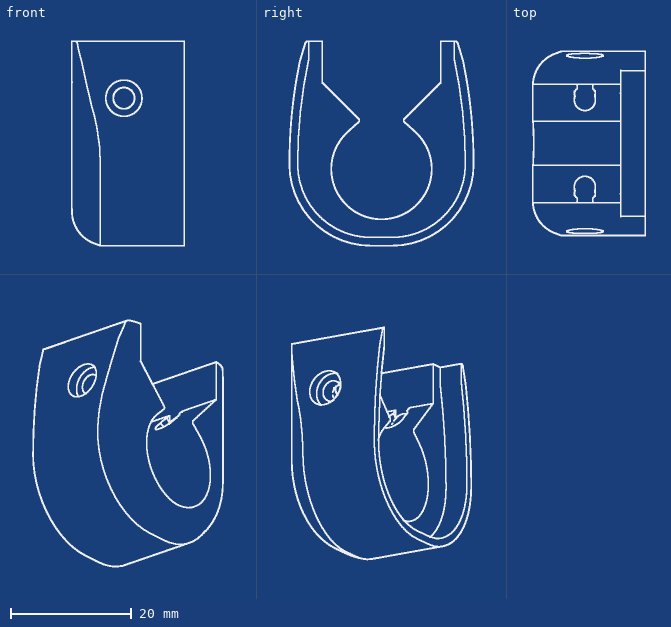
import cadquery as cq
import math

length = 18.67
height = 33.95
width = 30.6
half_width = width / 2

bottom_flat_half = 1.75
bend_radius = half_width - bottom_flat_half
arm_curve_radius = 84.88
arm_curve_top = 30.55
arm_shoulder_y = 12.73
arm_shoulder_z = 33.35
arm_top_y = 12.22
arm_crown_y = 12.55
arm_crown_z = 33.75
arm_inner_y = 9.8

nose_radius = 5.77
nose_arc_length = 3.3
nose_length = 4.75

bore_radius = 8.32
bore_z = 12.73
lip_root_z = 27.1
lip_tangent_angle = math.radians(48)
lip_tip_radius = 0.35

recess_start = 14.6
recess_half_width = 12.1
wall = 1.4

screw_x = 8.65
screw_z = 24.48
screw_diameter = 3.5
screw_head_diameter = 6.0
screw_head_floor_y = 12.43

relief_y = 8.25
relief_depth = 1.35
relief_slot_width = 2.6

cut_margin = 3.4


def arm_curve_y(z, inset=0):
    """Half width of the curved arms at a height, measured the inset inside their outer face."""
    radius = arm_curve_radius - inset
    rise = z - bend_radius
    return half_width - arm_curve_radius + math.sqrt(radius**2 - rise**2)


def arm_taper():
    """Full-length block giving the arms their curved outer sides and rounded tops."""
    mid_z = (bend_radius + arm_curve_top) / 2
    curve_mid = (arm_curve_y(mid_z), mid_z)
    curve_end = (arm_curve_y(arm_curve_top), arm_curve_top)
    half = (
        cq.Workplane("YZ")
        .lineTo(half_width, 0)
        .lineTo(half_width, bend_radius)
        .threePointArc(curve_mid, curve_end)
        .lineTo(arm_shoulder_y, arm_shoulder_z)
        .threePointArc((arm_crown_y, arm_crown_z), (arm_top_y, height))
        .lineTo(0, height)
        .close()
        .extrude(length)
    )
    return half.union(half.mirror("XZ"))


def nosed_body():
    """U block whose front outer edge is rounded along the whole U."""

    def nose_inset(x):
        return nose_radius - math.sqrt(nose_radius**2 - (nose_radius - x) ** 2)

    mid_x = nose_arc_length / 2
    arc_mid = (mid_x, half_width - nose_inset(mid_x))
    arc_end = (nose_arc_length, half_width - nose_inset(nose_arc_length))

    def nose_profile(inner_y):
        return (
            cq.Workplane("XY", origin=(0, 0, bend_radius))
            .moveTo(0, inner_y)
            .lineTo(0, half_width - nose_radius)
            .threePointArc(arc_mid, arc_end)
            .lineTo(nose_length, half_width)
            .lineTo(length, half_width)
            .lineTo(length, inner_y)
            .close()
        )

    arm = nose_profile(0).extrude(height - bend_radius)
    bend_axis = ((0, bottom_flat_half, 0), (-1, bottom_flat_half, 0))
    bend = nose_profile(bottom_flat_half).revolve(90, *bend_axis)
    floor = (
        nose_profile(bottom_flat_half)
        .extrude(2 * bottom_flat_half)
        .rotate((0, bottom_flat_half, bend_radius), (1, bottom_flat_half, bend_radius), -90)
        .translate((0, -2 * bottom_flat_half, 0))
    )
    half = arm.union(bend)
    return half.union(half.mirror("XZ")).union(floor)


def mouth():
    """Bore, neck between the lips and the gap between the arms."""
    tangent_y = bore_radius * math.cos(lip_tangent_angle)
    tangent_z = bore_z + bore_radius * math.sin(lip_tangent_angle)
    slope = 1 / math.tan(lip_tangent_angle)
    upper_offset = lip_root_z - arm_inner_y
    tip_y = (tangent_z + slope * tangent_y - upper_offset) / (1 + slope)
    tip_z = tip_y + upper_offset
    top = height + cut_margin
    tip_edges = cq.selectors.BoxSelector(
        (0, -tip_y - lip_tip_radius, tip_z - lip_tip_radius),
        (length, tip_y + lip_tip_radius, tip_z + lip_tip_radius),
    )
    return (
        cq.Workplane("YZ")
        .moveTo(tangent_y, tangent_z)
        .lineTo(tip_y, tip_z)
        .lineTo(arm_inner_y, lip_root_z)
        .lineTo(arm_inner_y, top)
        .lineTo(-arm_inner_y, top)
        .lineTo(-arm_inner_y, lip_root_z)
        .lineTo(-tip_y, tip_z)
        .lineTo(-tangent_y, tangent_z)
        .threePointArc((0, bore_z - bore_radius), (tangent_y, tangent_z))
        .close()
        .extrude(length)
        .edges(tip_edges)
        .fillet(lip_tip_radius)
    )


def back_recess():
    """Pocket leaving an even wall inside the curved arms, straight near their tops."""
    half = half_width - wall
    bend = bend_radius - wall
    diagonal = bend * math.sqrt(0.5)
    curve = arm_curve_radius - wall
    curve_y = half_width - arm_curve_radius
    straight_z = bend_radius + math.sqrt(curve**2 - (recess_half_width - curve_y) ** 2)
    mid_z = (bend_radius + straight_z) / 2
    mid_y = arm_curve_y(mid_z, wall)
    top = height + cut_margin
    side = (
        cq.Workplane("YZ", origin=(recess_start, 0, 0))
        .moveTo(0, wall)
        .lineTo(bottom_flat_half, wall)
        .threePointArc((bottom_flat_half + diagonal, bend_radius - diagonal), (half, bend_radius))
        .threePointArc((mid_y, mid_z), (recess_half_width, straight_z))
        .lineTo(recess_half_width, top)
        .lineTo(0, top)
        .close()
        .extrude(length - recess_start)
    )
    return side.union(side.mirror("XZ"))


def screw_holes():
    plane = cq.Workplane("XZ").center(screw_x, screw_z)
    holes = plane.circle(screw_diameter / 2).extrude(half_width, both=True)
    head = (
        plane.workplane(offset=screw_head_floor_y)
        .circle(screw_head_diameter / 2)
        .extrude(half_width - screw_head_floor_y)
    )
    return holes.union(head).union(head.mirror("XZ"))


def lip_relief():
    """Bore square to the sloping lip face, with a slot running up to the arm."""
    face_z = relief_y + lip_root_z - arm_inner_y
    inward = cq.Vector(0, -1, 1)
    plane = cq.Plane(origin=(screw_x, relief_y, face_z), xDir=(1, 0, 0), normal=inward)
    bore = (
        cq.Workplane(plane)
        .workplane(offset=-relief_depth)
        .circle(screw_diameter / 2)
        .extrude(2 * relief_depth)
    )
    inside_arms = cq.Workplane("XY").box(2 * length, 2 * arm_inner_y, 2 * height)
    slot = (
        cq.Workplane("XY", origin=(screw_x, relief_y, screw_z))
        .moveTo(0, (arm_inner_y - relief_y) / 2)
        .rect(relief_slot_width, arm_inner_y - relief_y)
        .extrude(lip_root_z - screw_z)
    )
    relief = bore.intersect(inside_arms).union(slot)
    return relief.union(relief.mirror("XZ"))


result = nosed_body().intersect(arm_taper())
result = result.cut(mouth()).cut(back_recess())
result = result.cut(screw_holes()).cut(lip_relief())